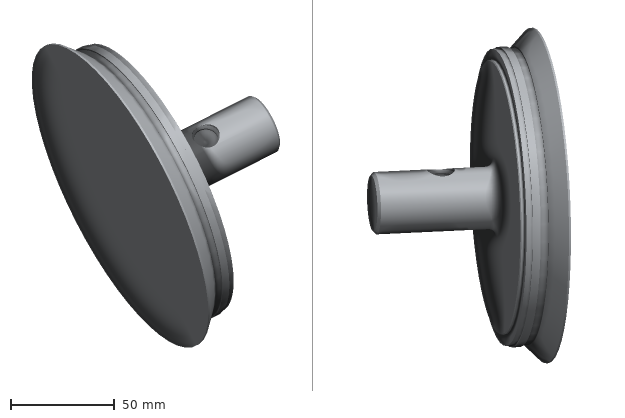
import cadquery as cq
import math

total_length = 82.0

rim_diameter = 161.5
rim_thickness = 1.0
flare_end_diameter = 144.7
flare_end = rim_thickness + (rim_diameter - flare_end_diameter) / 2

body_diameter = 143.0
band_diameter = 144.7
band_start = 13.2
band_end = 17.1
body_end = 20.0
back_diameter = 132.5
back_end = 22.0
back_chamfer = 0.5

shank_diameter = 30.0
shank_chamfer = 1.5
root_fillet = 4.0

hole_position = 48.5
hole_diameter = 11.5
hole_mouth_diameter = 13.4
hole_wall_depth = 2.5
mouth_chamfer_depth = 1.5
drill_point_angle = 118.0


def disc(diameter, start, end):
    """Solid disc on the Y axis between two axial positions."""
    return cq.Workplane("XZ", origin=(0, start, 0)).circle(diameter / 2).extrude(start - end)


def face_plate():
    """Thin rim followed by a 45 degree flare narrowing towards the back."""
    return (
        cq.Workplane("XY")
        .moveTo(0, 0)
        .lineTo(rim_diameter / 2, 0)
        .lineTo(rim_diameter / 2, rim_thickness)
        .lineTo(flare_end_diameter / 2, flare_end)
        .lineTo(0, flare_end)
        .close()
        .revolve(360, (0, 0, 0), (0, 1, 0))
    )


def stepped_plate():
    """Cylindrical body with a raised band and a smaller chamfered back disc."""
    body = disc(body_diameter, flare_end, body_end)
    band = disc(band_diameter, band_start, band_end)
    back = disc(back_diameter, body_end, back_end).faces(">Y").edges().chamfer(back_chamfer)
    return body.union(band).union(back)


def shank():
    """Chamfered round shank with a concave fillet at its root."""
    radius = shank_diameter / 2
    root_end = back_end + root_fillet
    arc_offset = root_fillet * (1 - math.sqrt(0.5))
    return (
        cq.Workplane("XY")
        .moveTo(0, back_end)
        .lineTo(radius + root_fillet, back_end)
        .threePointArc((radius + arc_offset, back_end + arc_offset), (radius, root_end))
        .lineTo(radius, total_length - shank_chamfer)
        .lineTo(radius - shank_chamfer, total_length)
        .lineTo(0, total_length)
        .close()
        .revolve(360, (0, 0, 0), (0, 1, 0))
    )


def locating_hole():
    """Cutter for the hole: flared mouth, short straight wall and conical bottom."""
    crown = shank_diameter / 2
    hole_radius = hole_diameter / 2
    mouth_radius = hole_mouth_diameter / 2
    mouth_height = math.sqrt(crown**2 - mouth_radius**2)
    wall_bottom = crown - hole_wall_depth - mouth_chamfer_depth
    tip = wall_bottom - hole_radius / math.tan(math.radians(drill_point_angle / 2))
    return (
        cq.Workplane("XZ", origin=(0, hole_position, 0))
        .moveTo(0, tip)
        .lineTo(hole_radius, wall_bottom)
        .lineTo(hole_radius, mouth_height - mouth_chamfer_depth)
        .lineTo(mouth_radius, mouth_height)
        .lineTo(mouth_radius, crown)
        .lineTo(0, crown)
        .close()
        .revolve(360, (0, 0, 0), (0, 1, 0))
    )


result = face_plate().union(stepped_plate()).union(shank()).cut(locating_hole())